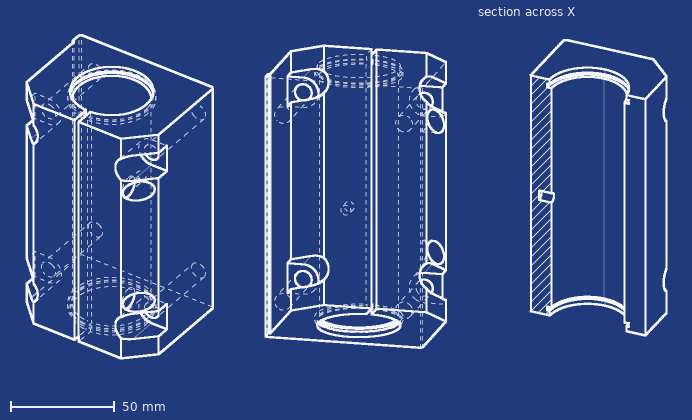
import cadquery as cq

width = 78.0
depth = 60.0
length = 130.0
half_width = width / 2
half_depth = depth / 2
front_chamfer = 13.0
back_chamfer = 0.9

edge_step = 1.0
edge_height = 6.5

bore_diameter = 38.0
mouth_diameter = 40.0
mouth_depth = 2.7
groove_diameter = 42.5
groove_width = 1.8
slit_width = 2.5
oil_hole_diameter = 5.0
oil_hole_depth = 6.5

mount_x = 30.0
mount_z = 46.8
mount_diameter = 8.3
pocket_width = 15.0
pocket_depth = 20.0

screw_diameter = 11.0
screw_z = 32.9
screw_front_offset = 6.1
screw_y = -half_depth + screw_front_offset
screw_floor_x = half_width - front_chamfer


def make_block():
    """Extrude the chamfered block outline along Z."""
    left = -half_width + edge_step
    points = [
        (left + front_chamfer, -half_depth),
        (half_width - front_chamfer, -half_depth),
        (half_width, -half_depth + front_chamfer),
        (half_width, half_depth - back_chamfer),
        (half_width - back_chamfer, half_depth),
        (-half_width + back_chamfer, half_depth),
        (-half_width, half_depth - back_chamfer),
        (-half_width, half_depth - edge_height),
        (left, half_depth - edge_height),
        (left, -half_depth + front_chamfer),
    ]
    block = cq.Workplane("XY").polyline(points).close().extrude(length)
    return block.translate((0, 0, -length / 2))


def z_cylinder(diameter, height, bottom):
    """Round bar on the Z axis, starting at height bottom."""
    return cq.Workplane("XY").workplane(offset=bottom).circle(diameter / 2).extrude(height)


def make_bore():
    """Bore cutter with a wider mouth and a snap ring groove at each end."""
    bore = z_cylinder(bore_diameter, length, -length / 2)
    for end in (-1, 1):
        mouth_bottom = end * (length - mouth_depth) / 2 - mouth_depth / 2
        groove_center = end * (length / 2 - mouth_depth - groove_width / 2)
        bore = bore.union(z_cylinder(mouth_diameter, mouth_depth, mouth_bottom))
        bore = bore.union(z_cylinder(groove_diameter, groove_width, groove_center - groove_width / 2))
    return bore


def make_slit():
    """Clamping slit from the bore out through the front face."""
    return cq.Workplane("XY").box(slit_width, half_depth, length).translate((0, -half_depth / 2, 0))


def y_cylinder(diameter, height, x, y, z):
    """Round bar running toward +Y from the given point."""
    start = cq.Vector(x, y, z)
    return cq.Workplane(cq.Solid.makeCylinder(diameter / 2, height, start, cq.Vector(0, 1, 0)))


def make_mount(side, z):
    """Through hole and side-opening pocket; side is -1 for -X, +1 for +X."""
    x = side * mount_x
    hole = y_cylinder(mount_diameter, depth, x, -half_depth, z)
    round_end = y_cylinder(pocket_width, pocket_depth, x, -half_depth, z)
    run_out = half_width - mount_x
    opening = cq.Workplane("XY").box(run_out, pocket_depth, pocket_width)
    opening = opening.translate((x + side * run_out / 2, -half_depth + pocket_depth / 2, z))
    return hole.union(round_end).union(opening)


def make_screw_recess(z):
    """Flat-bottomed recess running along X from the +X side."""
    start = cq.Vector(screw_floor_x, screw_y, z)
    recess_depth = half_width - screw_floor_x
    return cq.Workplane(cq.Solid.makeCylinder(screw_diameter / 2, recess_depth, start, cq.Vector(1, 0, 0)))


result = make_block().cut(make_bore()).cut(make_slit())
result = result.cut(y_cylinder(oil_hole_diameter, bore_diameter / 2 + oil_hole_depth, 0, 0, 0))
for end in (-1, 1):
    for side in (-1, 1):
        result = result.cut(make_mount(side, end * mount_z))
    result = result.cut(make_screw_recess(end * screw_z))